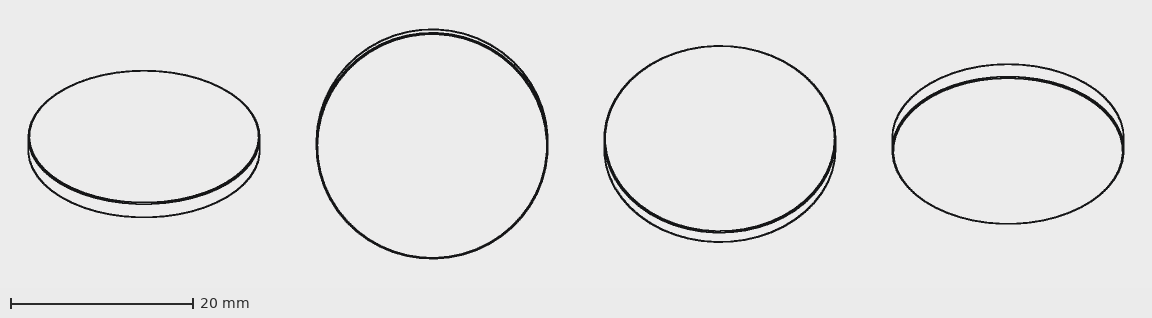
import cadquery as cq

diameter = 25.4
center_thickness = 3.33
dome_height = 1.32
edge_chamfer = 0.13

radius = diameter / 2
face_radius = radius - edge_chamfer
dome_base = center_thickness - dome_height

sphere_radius = (face_radius**2 + dome_height**2) / (2 * dome_height)
mid_radius = face_radius / 2
mid_height = center_thickness - sphere_radius + (sphere_radius**2 - mid_radius**2) ** 0.5

half_section = (
    cq.Workplane("YZ")
    .moveTo(0, 0)
    .lineTo(-face_radius, 0)
    .lineTo(-radius, edge_chamfer)
    .lineTo(-radius, dome_base - edge_chamfer)
    .lineTo(-face_radius, dome_base)
    .threePointArc((-mid_radius, mid_height), (0, center_thickness))
    .close()
)

result = half_section.revolve(360, (0, 0, 0), (0, 1, 0))